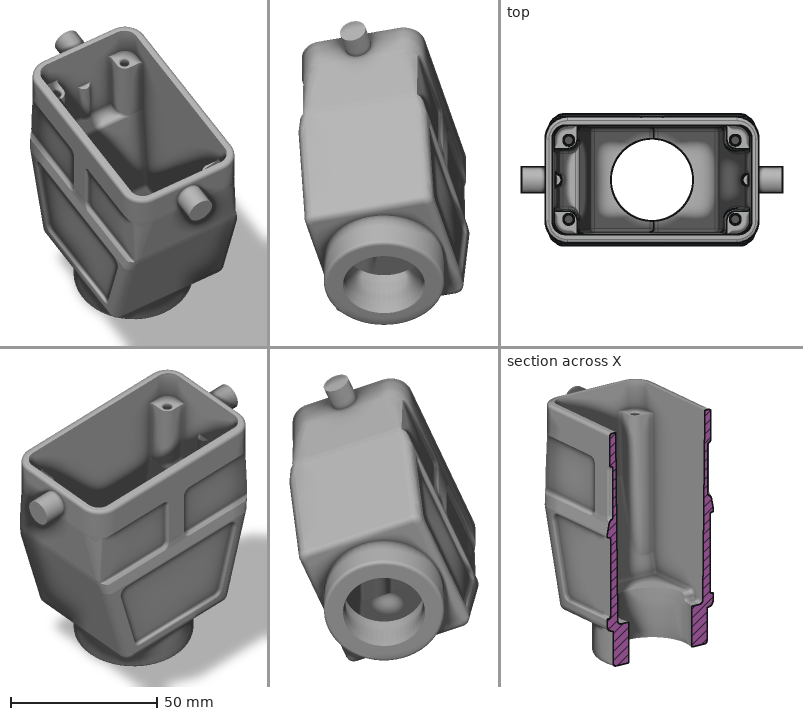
import cadquery as cq
total_height = 85.1
body_bottom_z = 13.0
shoulder_z = 48.4
kink_z = 53.4
rim_bottom_z = 73.7
kink_blend = 1.0
rim_blend = 0.4

rim_length = 73.0
rim_width = 43.0
rim_corner = 7.5
kink_length = 69.5
body_width = 45.0
body_corner = 3.0
bottom_length = 47.8
rim_top_round = 1.2
bottom_round = 2.4
end_slope = (kink_length - bottom_length) / 2 / (kink_z - body_bottom_z)

collar_diameter = 41.0
collar_round = 1.2
collar_overlap = 0.5
bore_diameter = 28.0
pin_diameter = 9.0
pin_span = 89.2
pin_z = 78.7
pin_root = 1.0

panel_depth = 1.4
panel_edge_round = 0.6
window_floor_y = rim_width / 2 - panel_depth
window_inner_x = 4.15
window_bottom_z = 53.2
window_top_z = 73.45
window_corner = 2.0
badge_bottom_z = 18.0
badge_top_z = 47.3
badge_inset = 5.7
badge_corner = 2.6

opening_length = 68.2
opening_width = 37.4
opening_corner = 4.7
seat_length = 66.8
seat_z = 74.0
cavity_kink_length = 63.4
cavity_kink_z = 52.4
cavity_floor_width = 35.6
high_floor_z = 18.0
low_floor_z = 15.0
floor_step_x = 0.6
floor_round = 1.35
floor_edge_round = 1.2

ledge_z = 51.5
ledge_top_x = -25.0
ledge_foot_x = -21.0

boss_top_z = 75.2
boss_hole_x = 28.45
boss_hole_y = 13.5
boss_inner_x = 25.6
boss_inner_y = 10.7
boss_corner = 3.0
boss_draft = 1.5
boss_root_round = 1.0
boss_hole_diameter = 3.2
boss_hole_chamfer = 0.35
boss_hole_depth = 12.0

rib_x = 33.0
rib_radius = 2.0
rib_top_z = 67.0
rib_draft = 1.5
rib_foot_round = 0.9


def rounded_section(z, length, width, corner):
    """Rounded-rectangle wire at height z, centred on the Z axis."""
    outline = cq.Workplane("XY", origin=(0, 0, z)).rect(length, width).val()
    face = cq.Face.makeFromWires(outline)
    return face.fillet2D(corner, face.Vertices()).outerWire()


def ruled_stack(sections):
    """Solid through a stack of (z, length, width, corner) sections joined by straight faces."""
    wires = [rounded_section(*section) for section in sections]
    return cq.Workplane(cq.Solid.makeLoft(wires, True))


def interpolate(z, z_low, low, z_high, high):
    """Value at height z on the straight line between two known heights."""
    return low + (high - low) * (z - z_low) / (z_high - z_low)


def end_length(z):
    """Length of the lower body at height z, between its sloping ends."""
    return kink_length + 2 * end_slope * (z - kink_z)


def make_body():
    kink_low = kink_z - kink_blend
    kink_high = kink_z + kink_blend
    rim_low = rim_bottom_z - rim_blend
    rim_high = rim_bottom_z + rim_blend

    def upper_length(z):
        return interpolate(z, kink_z, kink_length, rim_bottom_z, rim_length)

    width_at_kink_low = interpolate(kink_low, shoulder_z, body_width, kink_z, rim_width)
    body = ruled_stack(
        [
            (body_bottom_z, bottom_length, body_width, body_corner),
            (shoulder_z, end_length(shoulder_z), body_width, body_corner),
            (kink_low, end_length(kink_low), width_at_kink_low, body_corner),
            (kink_high, upper_length(kink_high), rim_width, body_corner),
            (rim_low, upper_length(rim_low), rim_width, rim_corner),
            (rim_high, rim_length, rim_width, rim_corner),
            (total_height, rim_length, rim_width, rim_corner),
        ]
    )
    body = body.faces(">Z").edges().fillet(rim_top_round)
    return body.faces("<Z").edges().fillet(bottom_round)


def make_window(side_x, side_y):
    """Cutter, flared at its mouth, for an upper panel that runs out through the corner."""
    length = rim_length / 2
    height = window_top_z - window_bottom_z
    neck_y = rim_width / 2 - panel_edge_round

    def outline(y):
        sketch = cq.Sketch().rect(length, height).vertices().fillet(window_corner)
        center = (window_inner_x + length / 2, (window_bottom_z + window_top_z) / 2)
        return cq.Workplane("XZ", origin=(0, -y, 0)).center(*center).placeSketch(sketch)

    recess = outline(window_floor_y).extrude(panel_depth).faces(">Y").edges().fillet(panel_edge_round)
    flare = outline(neck_y).extrude(3 * panel_edge_round, taper=-45)
    window = recess.union(flare)
    if side_x < 0:
        window = window.mirror("YZ")
    if side_y > 0:
        window = window.mirror("XZ")
    return window


def make_badge(side_y):
    """Cutter for the trapezoidal panel on a lower long side."""
    top_half = end_length(badge_top_z) / 2 - badge_inset
    bottom_half = end_length(badge_bottom_z) / 2 - badge_inset
    badge = (
        cq.Workplane("XZ", origin=(0, panel_depth - body_width / 2, 0))
        .polyline(
            [
                (-bottom_half, badge_bottom_z),
                (bottom_half, badge_bottom_z),
                (top_half, badge_top_z),
                (-top_half, badge_top_z),
            ]
        )
        .close()
        .extrude(2 * panel_depth)
        .edges("|Y")
        .fillet(badge_corner)
        .faces(">Y")
        .edges()
        .fillet(panel_edge_round)
    )
    if side_y > 0:
        badge = badge.mirror("XZ")
    return badge


def cut_panels(body):
    """Sink the panels into both long sides and round the mouths of the lower ones."""
    badge_reach = rim_length / 2 - badge_inset
    for side_y in (-1, 1):
        skin_y = side_y * body_width / 2
        body = body.cut(make_badge(side_y))
        badge_zone = cq.selectors.BoxSelector(
            (-badge_reach, skin_y - 0.1, badge_bottom_z - 0.1),
            (badge_reach, skin_y + 0.1, badge_top_z + 0.1),
        )
        body = body.edges(badge_zone).fillet(panel_edge_round)
        for side_x in (-1, 1):
            body = body.cut(make_window(side_x, side_y))
    return body


def extrude_across(plane, points):
    """Closed outline extruded both ways across the Z axis, well past the body."""
    return cq.Workplane(plane).polyline(points).close().extrude(rim_length, both=True)


def make_pit():
    """Cavity without its corner bosses and ribs."""
    high_floor_x = cavity_kink_length / 2 - end_slope * (cavity_kink_z - high_floor_z)
    ledge_wall_x = -interpolate(ledge_z, seat_z, seat_length / 2, cavity_kink_z, cavity_kink_length / 2)
    lengthwise = extrude_across(
        "XZ",
        [
            (-opening_length / 2, total_height),
            (-seat_length / 2, seat_z),
            (ledge_wall_x, ledge_z),
            (ledge_top_x, ledge_z),
            (ledge_foot_x, low_floor_z),
            (floor_step_x, low_floor_z),
            (floor_step_x, high_floor_z),
            (high_floor_x, high_floor_z),
            (cavity_kink_length / 2, cavity_kink_z),
            (seat_length / 2, seat_z),
            (opening_length / 2, total_height),
        ],
    )
    crosswise = extrude_across(
        "YZ",
        [
            (-opening_width / 2, total_height),
            (-cavity_floor_width / 2, low_floor_z),
            (cavity_floor_width / 2, low_floor_z),
            (opening_width / 2, total_height),
        ],
    )
    pit = lengthwise.intersect(crosswise)

    top_reach = opening_length
    above_ledge = cq.selectors.BoxSelector(
        (-top_reach, -top_reach, ledge_z + 1),
        (top_reach, top_reach, top_reach * 2),
    )
    corners = pit.edges("not(|X or |Y)").edges(above_ledge)
    pit = corners.fillet(opening_corner)

    steps = cq.selectors.BoxSelector((ledge_top_x - 1, -1, 0), (opening_length, 1, ledge_z + 0.1))
    pit = pit.edges("|Y").edges(steps).fillet(floor_round)

    floor_zone = cq.selectors.BoxSelector(
        (ledge_foot_x - 2, -rim_width, 0),
        (-ledge_foot_x + 2, rim_width, high_floor_z + floor_round / 2),
    )
    return pit.edges(floor_zone).fillet(floor_edge_round)


def make_boss(side_x, side_y):
    """Drafted corner post with a rounded inner edge, widening downwards."""
    size = boss_corner * 6
    height = boss_top_z - low_floor_z
    return (
        cq.Workplane("XY", origin=(0, 0, boss_top_z))
        .moveTo(side_x * (boss_inner_x + size / 2), side_y * (boss_inner_y + size / 2))
        .sketch()
        .rect(size, size)
        .vertices()
        .fillet(boss_corner)
        .finalize()
        .extrude(-height, taper=-boss_draft)
    )


def make_rib(side):
    """Round post half buried in an end wall, widening downwards."""
    return (
        cq.Workplane("XY", origin=(side * rib_x, 0, rib_top_z))
        .circle(rib_radius)
        .extrude(low_floor_z - rib_top_z, taper=-rib_draft)
    )


def make_boss_hole(side_x, side_y):
    """Blind screw hole with a chamfered mouth."""
    hole_radius = boss_hole_diameter / 2
    return (
        cq.Workplane("XZ", origin=(side_x * boss_hole_x, side_y * boss_hole_y, 0))
        .moveTo(0, boss_top_z - boss_hole_depth)
        .lineTo(hole_radius, boss_top_z - boss_hole_depth)
        .lineTo(hole_radius, boss_top_z - boss_hole_chamfer)
        .lineTo(hole_radius + boss_hole_chamfer, boss_top_z)
        .lineTo(0, boss_top_z)
        .close()
        .revolve(360, (0, 0, 0), (0, 1, 0))
    )


def boss_root_zone(side_x, side_y, wall_x, wall_y):
    """Box around the middle of one upright edge where a boss meets a cavity wall."""
    reach = 1.0
    low = (side_x * (wall_x - reach), side_y * (wall_y - reach), ledge_z)
    high = (side_x * (wall_x + reach), side_y * (wall_y + reach), boss_top_z - 1)
    return cq.selectors.BoxSelector(low, high)


def make_cavity():
    """Pit with the ribs and corner bosses left standing in it."""
    cavity = make_pit()
    for side_x in (-1, 1):
        cavity = cavity.cut(make_rib(side_x))
    rib_foot = cq.selectors.BoxSelector(
        (-rib_x - rib_radius, -rib_radius, ledge_z - 1),
        (-rib_x + 2 * rib_radius, rib_radius, ledge_z + 1.5),
    )
    cavity = cavity.edges(rib_foot).fillet(rib_foot_round)

    mean_wall_x = (cavity_kink_length + seat_length) / 4
    roots = cq.selectors.BoxSelector((0, 0, 0), (0, 0, 0))
    for side_x in (-1, 1):
        for side_y in (-1, 1):
            cavity = cavity.cut(make_boss(side_x, side_y))
            roots += boss_root_zone(side_x, side_y, boss_inner_x - 0.5, opening_width / 2 - 0.5)
            roots += boss_root_zone(side_x, side_y, mean_wall_x, boss_inner_y)
    return cavity.edges(roots).fillet(boss_root_round)


def make_collar():
    """Round collar under the body."""
    return (
        cq.Workplane("XY")
        .circle(collar_diameter / 2)
        .extrude(body_bottom_z + collar_overlap)
        .faces("<Z")
        .edges()
        .fillet(collar_round)
    )


def make_pin(side):
    """Round pin standing out from an end wall of the rim."""
    root_x = rim_length / 2 - pin_root
    return (
        cq.Workplane("YZ", origin=(side * root_x, 0, 0))
        .center(0, pin_z)
        .circle(pin_diameter / 2)
        .extrude(side * (pin_span / 2 - root_x))
    )


def make_part():
    part = cut_panels(make_body())
    part = part.union(make_collar())
    part = part.cut(make_cavity())
    part = part.cut(cq.Workplane("XY").circle(bore_diameter / 2).extrude(total_height))
    for side_x in (-1, 1):
        part = part.union(make_pin(side_x))
        for side_y in (-1, 1):
            part = part.cut(make_boss_hole(side_x, side_y))
    return part


result = make_part()